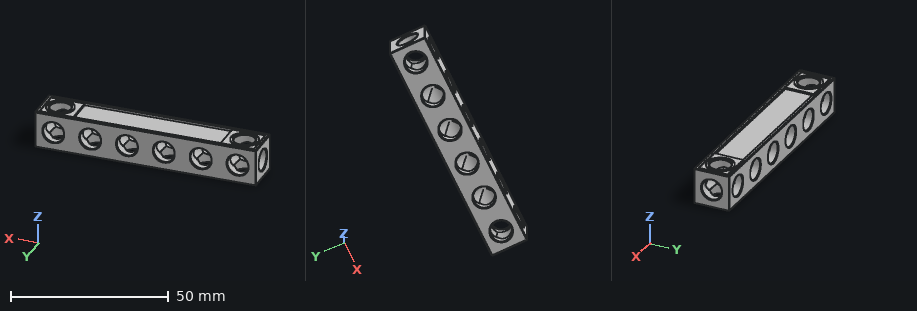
import cadquery as cq

cell_count = 6
length = 75.0
cell = length / cell_count
top = cell / 2
edge_chamfer = 0.25

hole_diameter = 7.0
hole_chamfer = 0.3

rim_width = 1.1
pad_depth = 0.2
plate_depth = 0.8

collar_diameter = 9.2

end_hole_x = (length - cell) / 2
pocket_length = length - 2 * rim_width
pocket_width = cell - 2 * rim_width
plate_length = length - 2 * cell


def top_pocket(size_x, depth):
    """Rectangular pocket sunk from the top face, as wide as the rim allows."""
    return cq.Workplane("XY", origin=(0, 0, top)).rect(size_x, pocket_width).extrude(-depth)


def collar(x):
    """Disc that stands on an end pad and reaches the rim level."""
    base = cq.Workplane("XY", origin=(x, 0, top - pad_depth))
    return base.circle(collar_diameter / 2).extrude(pad_depth)


def flared_hole(plane, center, span):
    """Round cutter of the given span about its center, widened by a cone at both ends."""
    radius = hole_diameter / 2
    half_span = span / 2
    profile = [
        (0, -half_span),
        (radius + hole_chamfer, -half_span),
        (radius, -half_span + hole_chamfer),
        (radius, half_span - hole_chamfer),
        (radius + hole_chamfer, half_span),
        (0, half_span),
    ]
    return cq.Workplane(plane, origin=center).polyline(profile).close().revolve(360, (0, 0), (0, 1))


lower_half = cq.Workplane("XY").rect(length, cell).extrude(-top)

result = cq.Workplane("XY").box(length, cell, cell).edges().chamfer(edge_chamfer)

result = result.cut(top_pocket(pocket_length, pad_depth))
result = result.cut(top_pocket(plate_length, plate_depth))
for x in (-end_hole_x, end_hole_x):
    result = result.union(collar(x))

for index in range(cell_count):
    vertical_hole = flared_hole("XZ", (index * cell - end_hole_x, 0, 0), cell)
    if index not in (0, cell_count - 1):
        vertical_hole = vertical_hole.intersect(lower_half)
    result = result.cut(vertical_hole)

for index in range(cell_count):
    result = result.cut(flared_hole("XY", (index * cell - end_hole_x, 0, 0), cell))

result = result.cut(flared_hole("YX", (0, 0, 0), length))